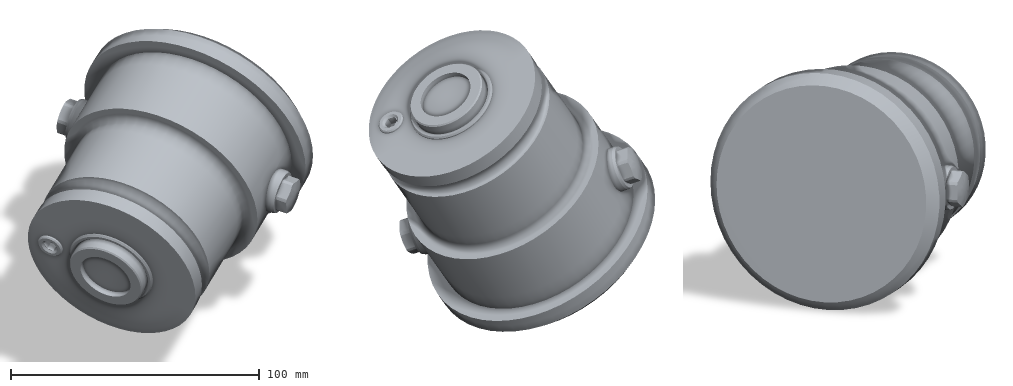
import cadquery as cq
import math


flange_radius = 49.0
flange_chamfer = 4.1
flange_front = 11.3
barrel_radius = 42.7
barrel_front = 44.0
body_radius = 37.1
body_front = 91.1
shoulder_fillet = 2.4
groove_radius = 3.5
groove_position = 81.2

collar_radius = 18.3
collar_height = 1.1
collar_chamfer = 0.6
collar_inner_chamfer = 0.5
boss_radius = 16.0
boss_front = 97.0
boss_chamfer = 0.5
recess_radius = 11.1
recess_depth = 2.6

fitting_offset = -26.9
fitting_radius = 5.4
fitting_height = 1.1
fitting_chamfer = 0.5
socket_across_flats = 4.8
socket_depth = 4.1
sink_radius = 3.5

plug_position = 27.0
plug_tip = 51.8
plug_root = 39.3
washer_radius = 9.0
washer_face = 46.1
washer_edge_length = 1.1
washer_edge_depth = 0.4
hex_across_flats = 13.4
hex_corner_radius = 7.3
hex_shoulder = 50.6


def corner_diameter(across_flats):
    """Diameter of the circle through the corners of a regular hexagon."""
    return across_flats / math.cos(math.pi / 6)


def turned_housing():
    """Flange, barrel and body revolved about the Y axis."""
    fillet_end_radius = body_radius + shoulder_fillet
    profile = (
        cq.Workplane("XY")
        .lineTo(flange_radius - flange_chamfer, 0)
        .lineTo(flange_radius, -flange_chamfer)
        .lineTo(flange_radius, -flange_front)
        .lineTo(barrel_radius, -flange_front)
        .lineTo(barrel_radius, -barrel_front)
        .lineTo(fillet_end_radius, -barrel_front)
        .radiusArc((body_radius, -barrel_front - shoulder_fillet), -shoulder_fillet)
        .lineTo(body_radius, -groove_position + groove_radius)
        .threePointArc(
            (body_radius - groove_radius, -groove_position),
            (body_radius, -groove_position - groove_radius),
        )
        .lineTo(body_radius, -body_front)
        .lineTo(0, -body_front)
        .close()
    )
    return profile.revolve(360, (0, 0, 0), (0, 1, 0))


def front_disc(radius, length, x=0):
    """Disc standing forward from the body's front face."""
    return cq.Workplane("XZ", origin=(x, -body_front, 0)).circle(radius).extrude(length)


def collar():
    """Ring around the boss, chamfered on its outer and inner front edges."""
    ring = front_disc(collar_radius, collar_height).faces("<Y").chamfer(collar_chamfer)
    ring = ring.cut(front_disc(boss_radius, collar_height))
    inner_edge = ring.edges(cq.selectors.RadiusNthSelector(0)).edges("<Y")
    return inner_edge.chamfer(collar_inner_chamfer)


def boss():
    nose = front_disc(boss_radius, boss_front - body_front).faces("<Y").chamfer(boss_chamfer)
    return nose.faces("<Y").workplane().circle(recess_radius).cutBlind(-recess_depth)


def fitting():
    return front_disc(fitting_radius, fitting_height, fitting_offset).faces("<Y").chamfer(fitting_chamfer)


def fitting_socket():
    """Hexagonal blind socket through the fitting, with a 45 degree countersink."""
    socket_corner_radius = corner_diameter(socket_across_flats) / 2
    sink_depth = sink_radius - socket_corner_radius
    mouth = cq.Workplane("XZ", origin=(fitting_offset, -body_front - fitting_height, 0))
    sink = mouth.circle(sink_radius).workplane(offset=-sink_depth).circle(socket_corner_radius).loft()
    socket = mouth.polygon(6, corner_diameter(socket_across_flats)).extrude(-socket_depth)
    return sink.union(socket)


def side_plug():
    """Hexagonal plug with a domed head, pointing along +X."""
    washer = (
        cq.Workplane("YZ", origin=(plug_root, -plug_position, 0))
        .circle(washer_radius)
        .extrude(washer_face - plug_root)
        .faces(">X")
        .edges()
        .chamfer(washer_edge_length, washer_edge_depth)
    )
    hex_prism = (
        cq.Workplane("YZ", origin=(plug_root, -plug_position, 0))
        .transformed(rotate=(0, 0, 90))
        .polygon(6, corner_diameter(hex_across_flats))
        .extrude(plug_tip - plug_root)
    )
    dome_height = plug_tip - hex_shoulder
    dome_radius = (hex_corner_radius**2 + dome_height**2) / (2 * dome_height)
    envelope = (
        cq.Workplane("XY", origin=(0, -plug_position, 0))
        .moveTo(plug_root, 0)
        .lineTo(plug_tip, 0)
        .radiusArc((hex_shoulder, hex_corner_radius), -dome_radius)
        .lineTo(plug_root, hex_corner_radius)
        .close()
        .revolve(360, (0, 0, 0), (1, 0, 0))
    )
    return washer.union(hex_prism.intersect(envelope))


right_plug = side_plug()
left_plug = right_plug.mirror("YZ")

result = (
    turned_housing()
    .union(collar())
    .union(boss())
    .union(fitting())
    .cut(fitting_socket())
    .union(right_plug)
    .union(left_plug)
)